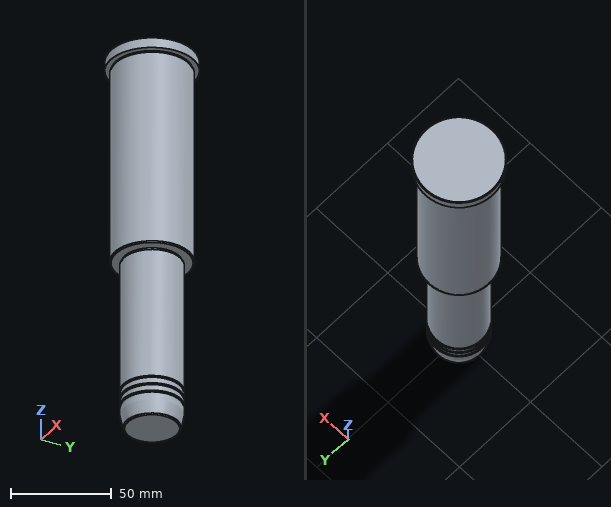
import cadquery as cq

total_length = 211.0

head_diameter = 47.0
head_radius = head_diameter / 2
head_thickness = 6.0
head_chamfer = 0.5
head_bottom = total_length - head_thickness

body_diameter = 42.0
body_radius = body_diameter / 2
body_bottom = 95.0
body_chamfer = 0.6
relief_height = 0.6
relief_radius = body_radius - body_chamfer
body_top = head_bottom - relief_height

shank_diameter = 32.0
shank_radius = shank_diameter / 2
neck_depth = 0.8
neck_height = 1.5
neck_radius = shank_radius - neck_depth
neck_bottom = body_bottom - neck_height

tip_height = 7.5
tip_radius = 14.3
tip_bulge = 0.2
tip_chamfer = 0.6

groove_count = 3
first_groove_z = 12.2
groove_pitch = 4.2
groove_height = 1.0
groove_depth = 0.5


def cylinder(radius, bottom, top):
    return cq.Workplane("XY").workplane(offset=bottom).circle(radius).extrude(top - bottom)


def make_head():
    head = cylinder(head_radius, head_bottom, total_length)
    return head.faces(">Z").edges().chamfer(head_chamfer)


def make_body():
    body = cylinder(body_radius, body_bottom, body_top)
    body = body.faces("<Z or >Z").edges().chamfer(body_chamfer)
    return body.union(cylinder(relief_radius, body_top, head_bottom))


def make_shank():
    """Revolve the half outline of the shank, from the body down to the tip."""
    tip_arc_middle = (
        (shank_radius + tip_radius) / 2 + tip_bulge,
        (tip_height + tip_chamfer) / 2,
    )
    outline = (
        cq.Workplane("XZ")
        .moveTo(0, body_bottom)
        .lineTo(neck_radius, body_bottom)
        .lineTo(neck_radius, neck_bottom)
        .lineTo(shank_radius, neck_bottom)
    )
    for index in reversed(range(groove_count)):
        groove_z = first_groove_z + index * groove_pitch
        outline = (
            outline.lineTo(shank_radius, groove_z + groove_height / 2)
            .lineTo(shank_radius - groove_depth, groove_z)
            .lineTo(shank_radius, groove_z - groove_height / 2)
        )
    outline = (
        outline.lineTo(shank_radius, tip_height)
        .threePointArc(tip_arc_middle, (tip_radius, tip_chamfer))
        .lineTo(tip_radius - tip_chamfer, 0)
        .lineTo(0, 0)
        .close()
    )
    return outline.revolve(360, (0, 0, 0), (0, 1, 0))


result = make_head().union(make_body()).union(make_shank())